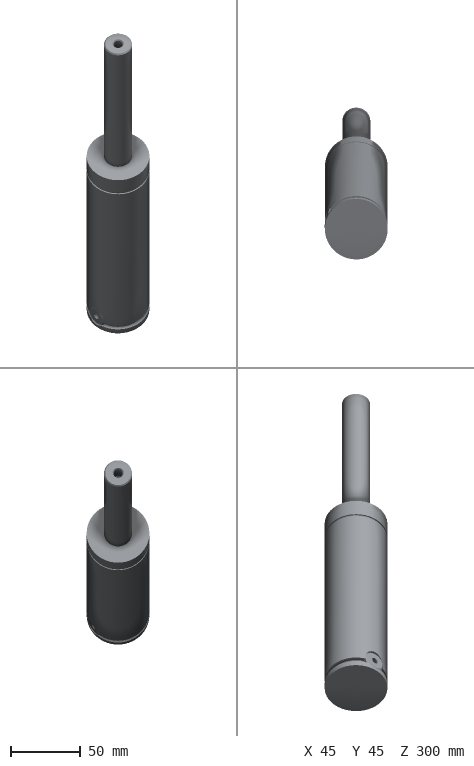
import cadquery as cq
import math

total_height = 300.0
body_diameter = 45.0
body_height = 173.0
rod_diameter = 20.0
rod_chamfer = 1.0

base_flange_height = 4.5
base_groove_width = 3.5
base_groove_depth = 2.5

cap_height = 14.0
cap_groove_width = 1.8
cap_groove_depth = 1.0

rod_hole_diameter = 6.5
rod_hole_mouth_diameter = 8.0
rod_hole_depth = 15.0
drill_point_angle = 118

plug_height = 10.5
plug_diameter = 16.2
plug_chamfer = 1.2
plug_face_inset = 0.5
plug_seat_depth = 4.5
valve_hole_diameter = 4.8
valve_hole_depth = 3.0

body_radius = body_diameter / 2


def groove(bottom, width, depth):
    """Square ring that cuts a groove around the body."""
    plane = cq.Workplane("XY").workplane(offset=bottom)
    return plane.circle(body_radius).circle(body_radius - depth).extrude(width)


def rod_hole():
    """Blind hole with a countersunk mouth and a conical drill point."""
    radius = rod_hole_diameter / 2
    mouth_radius = rod_hole_mouth_diameter / 2
    mouth_depth = mouth_radius - radius
    point_rise = radius / math.tan(math.radians(drill_point_angle / 2))
    floor = total_height - rod_hole_depth
    return (
        cq.Workplane("XZ")
        .moveTo(0, floor - point_rise)
        .lineTo(radius, floor)
        .lineTo(radius, total_height - mouth_depth)
        .lineTo(mouth_radius, total_height)
        .lineTo(0, total_height)
        .close()
        .revolve(360, (0, 0, 0), (0, 1, 0))
    )


def plug_seat():
    """Round bore from outside the body down to the seat of the plug."""
    outside = cq.Workplane("XZ", origin=(0, -body_radius, plug_height))
    return outside.circle(plug_diameter / 2).extrude(-plug_seat_depth)


def filling_plug():
    """Flat plug with a chamfered rim and a small blind valve hole."""
    face = cq.Workplane("XZ", origin=(0, plug_face_inset - body_radius, plug_height))
    plug = face.circle(plug_diameter / 2).extrude(plug_face_inset - plug_seat_depth)
    plug = plug.faces("<Y").chamfer(plug_chamfer)
    valve_hole = face.circle(valve_hole_diameter / 2).extrude(-valve_hole_depth)
    return plug.cut(valve_hole)


body = cq.Workplane("XY").circle(body_radius).extrude(body_height)
body = body.cut(groove(base_flange_height, base_groove_width, base_groove_depth))
cap_groove_bottom = body_height - cap_height - cap_groove_width
body = body.cut(groove(cap_groove_bottom, cap_groove_width, cap_groove_depth))
body = body.cut(plug_seat()).union(filling_plug())

rod = cq.Workplane("XY").workplane(offset=body_height).circle(rod_diameter / 2)
rod = rod.extrude(total_height - body_height)
rod = rod.faces(">Z").chamfer(rod_chamfer)

result = body.union(rod).cut(rod_hole())